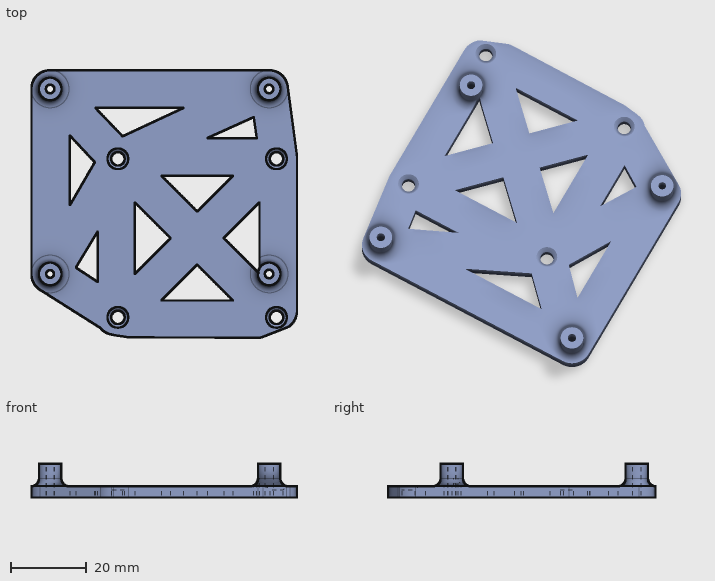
import cadquery as cq
import math

PLATE_WIDTH = 70.45
PLATE_DEPTH = 70.94
PLATE_THICKNESS = 3.0
TOTAL_HEIGHT = 9.0
STANDOFF_SPACING_X = 58.0
STANDOFF_SPACING_Y = 49.0
STANDOFF_DIAMETER = 6.0
STANDOFF_BORE = 2.2
LOWER_LEFT_BORE = 2.0
FOOT_FILLET = 2.0
FOOT_SEAM_ANGLE = 135.0
CORNER_RADIUS = STANDOFF_DIAMETER / 2 + FOOT_FILLET

MOUNT_SPACING = 42.0
MOUNT_DIAMETER = 3.5
COUNTERSINK_DIAMETER = 5.5
COUNTERSINK_ANGLE = 90.0
MOUNT_EDGE_DISTANCE = 5.5

LEFT_EDGE = -CORNER_RADIUS
RIGHT_EDGE = LEFT_EDGE + PLATE_WIDTH
TOP_EDGE = STANDOFF_SPACING_Y + CORNER_RADIUS
BOTTOM_EDGE = TOP_EDGE - PLATE_DEPTH

MOUNT_CENTER_X = RIGHT_EDGE - MOUNT_EDGE_DISTANCE - MOUNT_SPACING / 2
MOUNT_CENTER_Y = 9.5

LOWER_LEFT_SLOPE = math.radians(31.8)
LOWER_RIGHT_SLOPE = math.radians(21.3)
UPPER_RIGHT_LEAN = math.radians(7.5)
LOWER_RIGHT_RADIUS = 5.5
LOWER_RIGHT_CENTER_Y = -9.6
LOWER_RIGHT_ARC_START_X = 63.5
LOWER_RIGHT_SLOPE_TOP = (62.6, -14.25)
UPPER_RIGHT_KNEE_Y = 31.0
SHOULDER_START = (13.35, -14.35)
SHOULDER_MIDDLE = (14.5, -15.4)
SHOULDER_END = (16.2, -16.05)
SHOULDER_BEVEL_END = (16.8, -16.2)
BOTTOM_START = (20.75, -16.8)
BOTTOM_END_X = 55.0
BOTTOM_BEND_END_X = 56.4

BRACE_WIDTH = 10.0
WINDOW_REACH = 16.5

OUTER_WINDOWS = [
    [(12.0, 44.0), (35.3, 44.0), (19.2, 36.5)],
    [(5.25, 36.6), (5.25, 18.3), (11.8, 29.6)],
    [(41.7, 36.0), (54.7, 36.0), (53.9, 41.5)],
    [(12.6, 11.2), (12.6, -2.1), (6.85, 1.7)],
]

STANDOFF_POINTS = [(x, y) for x in (0, STANDOFF_SPACING_X) for y in (0, STANDOFF_SPACING_Y)]


def on_circle(center, radius, angle):
    """Point on a circle at an angle in radians, counter-clockwise from +X."""
    return (center[0] + radius * math.cos(angle), center[1] + radius * math.sin(angle))


def make_plate():
    """Flat plate with rounded corners and sloped lower corners."""
    lower_left = (0, 0)
    upper_right = (STANDOFF_SPACING_X, STANDOFF_SPACING_Y)
    upper_left = (0, STANDOFF_SPACING_Y)
    lower_right = (RIGHT_EDGE - LOWER_RIGHT_RADIUS, LOWER_RIGHT_CENTER_Y)

    lower_left_normal = -math.pi / 2 - LOWER_LEFT_SLOPE

    arc_start_angle = -math.acos((LOWER_RIGHT_ARC_START_X - lower_right[0]) / LOWER_RIGHT_RADIUS)

    slope_top_x, slope_top_y = LOWER_RIGHT_SLOPE_TOP
    bend_drop = (slope_top_x - BOTTOM_BEND_END_X) * math.tan(LOWER_RIGHT_SLOPE)
    bend_end = (BOTTOM_BEND_END_X, slope_top_y - bend_drop)

    outline = (
        cq.Workplane("XY")
        .moveTo(LEFT_EDGE, 0)
        .threePointArc(
            on_circle(lower_left, CORNER_RADIUS, (lower_left_normal - math.pi) / 2),
            on_circle(lower_left, CORNER_RADIUS, lower_left_normal),
        )
        .lineTo(*SHOULDER_START)
        .threePointArc(SHOULDER_MIDDLE, SHOULDER_END)
        .lineTo(*SHOULDER_BEVEL_END)
        .lineTo(*BOTTOM_START)
        .lineTo(BOTTOM_END_X, BOTTOM_EDGE)
        .tangentArcPoint(bend_end, relative=False)
        .lineTo(*LOWER_RIGHT_SLOPE_TOP)
        .lineTo(*on_circle(lower_right, LOWER_RIGHT_RADIUS, arc_start_angle))
        .threePointArc(
            on_circle(lower_right, LOWER_RIGHT_RADIUS, arc_start_angle / 2),
            (RIGHT_EDGE, LOWER_RIGHT_CENTER_Y),
        )
        .lineTo(RIGHT_EDGE, UPPER_RIGHT_KNEE_Y)
        .lineTo(*on_circle(upper_right, CORNER_RADIUS, UPPER_RIGHT_LEAN))
        .threePointArc(
            on_circle(upper_right, CORNER_RADIUS, (UPPER_RIGHT_LEAN + math.pi / 2) / 2),
            (STANDOFF_SPACING_X, TOP_EDGE),
        )
        .lineTo(0, TOP_EDGE)
        .threePointArc(
            on_circle(upper_left, CORNER_RADIUS, 3 * math.pi / 4),
            (LEFT_EDGE, STANDOFF_SPACING_Y),
        )
        .close()
    )
    return outline.extrude(PLATE_THICKNESS)


def make_foot():
    """Flared standoff foot on the Z axis with a concave quarter-round side.

    The seam of the revolved face is turned to where a window cuts the lower-right foot.
    """
    radius = STANDOFF_DIAMETER / 2
    foot_top = PLATE_THICKNESS + FOOT_FILLET
    fillet_center = (radius + FOOT_FILLET, foot_top)
    return (
        cq.Workplane("XZ")
        .moveTo(0, 0)
        .lineTo(CORNER_RADIUS, 0)
        .lineTo(CORNER_RADIUS, PLATE_THICKNESS)
        .threePointArc(
            on_circle(fillet_center, FOOT_FILLET, -3 * math.pi / 4),
            (radius, foot_top),
        )
        .lineTo(0, foot_top)
        .close()
        .revolve(360, (0, 0, 0), (0, 1, 0))
        .rotate((0, 0, 0), (0, 0, 1), FOOT_SEAM_ANGLE)
    )


def brace_windows():
    """Four right-angled triangles pointing at the centre of the mounting square."""
    apex = BRACE_WIDTH / math.sqrt(2)
    half_base = WINDOW_REACH - apex
    windows = []
    for quarter_turn in range(4):
        turn = quarter_turn * math.pi / 2
        corners = [(apex, 0), (WINDOW_REACH, half_base), (WINDOW_REACH, -half_base)]
        windows.append([
            (
                MOUNT_CENTER_X + u * math.cos(turn) - v * math.sin(turn),
                MOUNT_CENTER_Y + u * math.sin(turn) + v * math.cos(turn),
            )
            for u, v in corners
        ])
    return windows


def add_feet(body):
    foot = make_foot()
    for x, y in STANDOFF_POINTS:
        body = body.union(foot.translate((x, y, 0)))
    return body


def cut_windows(body):
    """The windows pass through the plate and through any flared foot they meet."""
    for corners in OUTER_WINDOWS + brace_windows():
        window = cq.Workplane("XY").polyline(corners).close().extrude(TOTAL_HEIGHT)
        body = body.cut(window)
    return body


def add_standoffs(body):
    """Full round posts above the plate, bored through together with the plate."""
    posts = (
        cq.Workplane("XY", origin=(0, 0, PLATE_THICKNESS))
        .pushPoints(STANDOFF_POINTS)
        .circle(STANDOFF_DIAMETER / 2)
        .extrude(TOTAL_HEIGHT - PLATE_THICKNESS)
    )
    body = body.union(posts)
    for x, y in STANDOFF_POINTS:
        diameter = LOWER_LEFT_BORE if (x, y) == (0, 0) else STANDOFF_BORE
        body = body.cut(cq.Workplane("XY").center(x, y).circle(diameter / 2).extrude(TOTAL_HEIGHT))
    return body


def cut_mounting_holes(body):
    return (
        body.copyWorkplane(
            cq.Workplane("XY", origin=(MOUNT_CENTER_X, MOUNT_CENTER_Y, PLATE_THICKNESS))
        )
        .rarray(MOUNT_SPACING, MOUNT_SPACING, 2, 2)
        .cskHole(MOUNT_DIAMETER, COUNTERSINK_DIAMETER, COUNTERSINK_ANGLE)
    )


plate = cut_mounting_holes(make_plate())
result = add_standoffs(cut_windows(add_feet(plate)))